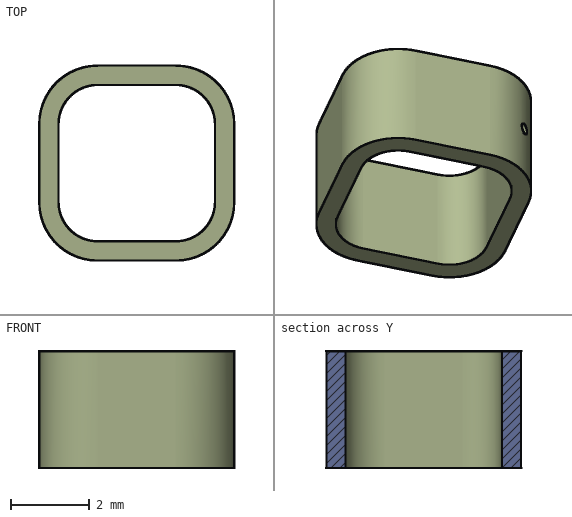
import cadquery as cq

outer_side = 5.0
height = 3.0
wall = 0.5
outer_corner_radius = 1.5

dimple_diameter = 0.3

inner_side = outer_side - 2 * wall
inner_corner_radius = outer_corner_radius - wall
corner_center = outer_side / 2 - outer_corner_radius
dimple_depth = dimple_diameter / 2


def rounded_block(side, corner_radius):
    """Square block standing on Z = 0 with its vertical edges rounded."""
    block = cq.Workplane("XY").box(side, side, height, centered=(True, True, False))
    return block.edges("|Z").fillet(corner_radius)


def corner_dimple():
    """Cone with its tip inside the wall, opening outward along the corner diagonal."""
    outward = cq.Vector(-1, 1, 0).normalized()
    arc_center = cq.Vector(-corner_center, corner_center, height / 2)
    tip = arc_center + outward * (outer_corner_radius - dimple_depth)
    cone_length = 2 * dimple_depth
    cone_radius = cone_length
    return cq.Workplane(cq.Solid.makeCone(0, cone_radius, cone_length, tip, outward))


outer_block = rounded_block(outer_side, outer_corner_radius)
opening = rounded_block(inner_side, inner_corner_radius)
result = outer_block.cut(opening).cut(corner_dimple())